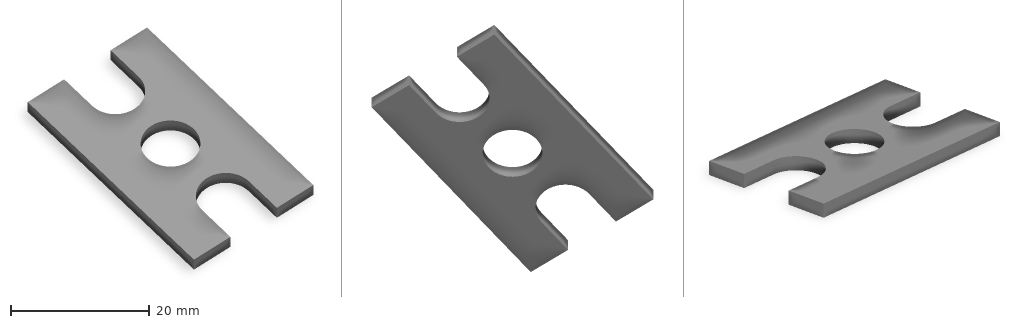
import cadquery as cq

length = 38.1
width = 22.2
thickness = 2.25

opening_diameter = 8.65
slot_depth = 10.7


def end_slot(side):
    """Cutter for the open slot at the -X (side=-1) or +X (side=1) end."""
    return (
        cq.Workplane("XY")
        .center(side * length / 2, 0)
        .slot2D(2 * slot_depth, opening_diameter)
        .extrude(thickness)
    )


plate = cq.Workplane("XY").box(length, width, thickness, centered=(True, True, False))
result = plate.faces(">Z").workplane().hole(opening_diameter)

for side in (-1, 1):
    result = result.cut(end_slot(side))